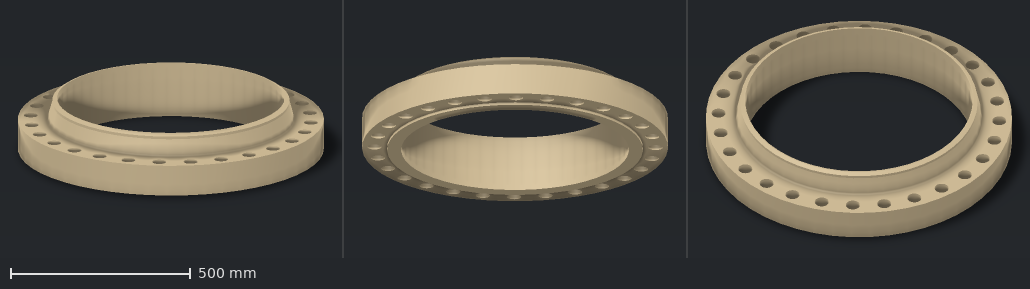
import cadquery as cq


flange_radius = 425.0
bore_radius = 316.5
raised_face_radius = 356.0
hub_base_radius = 344.0
hub_neck_radius = 330.0
hub_tip_radius = 320.0

total_height = 156.0
raised_face_height = 8.0
flange_top = 94.0
hub_taper_top = 141.0
hub_bevel_base = 149.0

hub_root_fillet = 7.0

bolt_count = 28
bolt_circle_radius = 390.5
bolt_hole_diameter = 39.0


def make_body():
    """Revolve the half section of the ring, raised face and hub."""
    section = [
        (bore_radius, 0),
        (raised_face_radius, 0),
        (raised_face_radius, raised_face_height),
        (flange_radius, raised_face_height),
        (flange_radius, flange_top),
        (hub_base_radius, flange_top),
        (hub_neck_radius, hub_taper_top),
        (hub_neck_radius, hub_bevel_base),
        (hub_tip_radius, total_height),
        (bore_radius, total_height),
    ]
    return cq.Workplane("XZ").polyline(section).close().revolve(360, (0, 0), (0, 1))


def round_hub_root(body):
    """Blend the foot of the hub into the top of the flange."""
    flange_top_face = body.faces("+Z").faces("<Z")
    hub_root_edge = flange_top_face.edges(cq.selectors.RadiusNthSelector(0))
    return hub_root_edge.fillet(hub_root_fillet)


def make_bolt_holes():
    """Make one cutter per bolt, evenly spaced with the first on +X."""
    return (
        cq.Workplane("XY")
        .polarArray(bolt_circle_radius, 0, 360, bolt_count)
        .circle(bolt_hole_diameter / 2)
        .extrude(total_height)
    )


result = round_hub_root(make_body()).cut(make_bolt_holes())